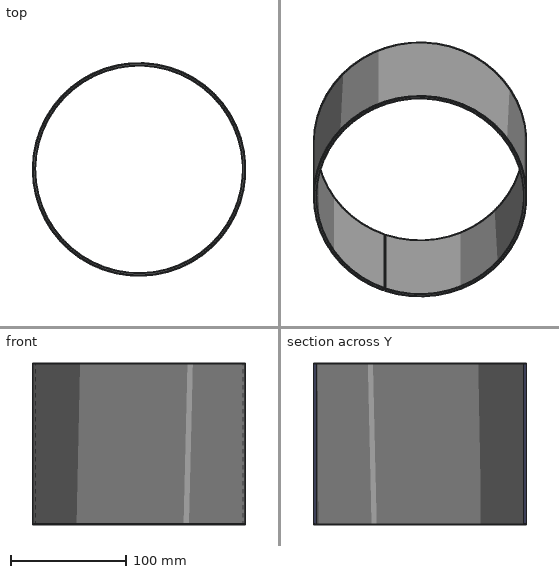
import cadquery as cq

outer_diameter = 185.0
wall_thickness = 2.5
height = 140.0
outer_chamfer = 0.5
inner_chamfer = 0.2
slit_angle = 1.0

outer_radius = outer_diameter / 2
inner_radius = outer_radius - wall_thickness


def wall_section():
    """Section of the wall at -X, chamfered at its four corners."""
    corners = [
        (-inner_radius - inner_chamfer, 0),
        (-outer_radius + outer_chamfer, 0),
        (-outer_radius, outer_chamfer),
        (-outer_radius, height - outer_chamfer),
        (-outer_radius + outer_chamfer, height),
        (-inner_radius - inner_chamfer, height),
        (-inner_radius, height - inner_chamfer),
        (-inner_radius, inner_chamfer),
    ]
    return cq.Workplane("XZ").polyline(corners).close()


def split_sleeve():
    """Sweep the wall around Z, stopping short to leave a slit on the +Y side of the start."""
    axis_start = (0, 0, 0)
    axis_end = (0, 1, 0)
    return wall_section().revolve(360 - slit_angle, axis_start, axis_end)


result = split_sleeve()